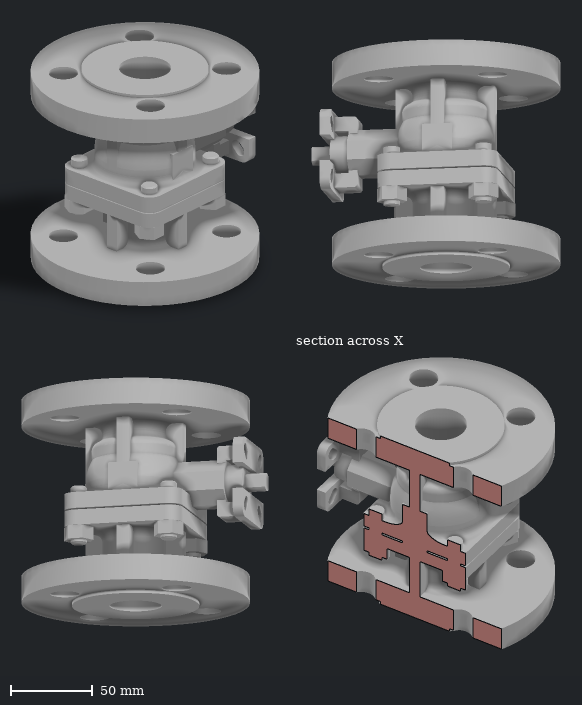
import cadquery as cq
import math


face_to_face = 130.0
bore_dia = 32.0
flange_dia = 140.0
flange_height = 18.0
raised_face_dia = 78.0
raised_face_height = 2.0
flange_bolt_circle_dia = 100.0
flange_bolt_hole_dia = 18.0

neck_radius = 20.5
shoulder_radius = 27.0
body_radius = 31.0
blend_radius = 5.0
shoulder_blend_angle = 60.0
ball_center_z = 75.0
shoulder_top_z = 96.3

joint_plate_width = 74.6
joint_corner_radius = 8.8
lower_plate_bottom_z = 44.8
lower_plate_thickness = 9.5
joint_gap = 1.0
upper_plate_thickness = 10.0

bolt_dia = 10.0
bolt_head_height = 5.0
bolt_end_z = 34.3
bolt_chamfer = 1.0
nut_height = 8.2
nut_across_flats = 16.0

rib_width = 8.0
stop_width = 18.4
stop_top_z = 84.0

stem_z = 73.0
stem_end_y = 83.0
stem_dia = 11.2
stem_across_flats = 8.4
gland_dia = 23.2
gland_start_y = 59.2
gland_end_y = 70.3
bonnet_across_flats = 28.0

pad_size = 50.0
pad_corner_radius = 6.0
pad_start_y = 68.0
pad_end_y = 74.2
pad_gap = 16.0
pad_slot_width = 7.0
pad_slot_outer_pitch_dia = 50.0
pad_slot_inner_pitch_dia = 42.0
arm_width = 18.0
arm_start_y = 53.7
arm_outer_offset = 22.1
arm_inner_offset = 13.2
arm_corner_radius = 2.0

upper_flange_bottom_z = face_to_face - flange_height
lower_plate_top_z = lower_plate_bottom_z + lower_plate_thickness
upper_plate_bottom_z = lower_plate_top_z + joint_gap
upper_plate_top_z = upper_plate_bottom_z + upper_plate_thickness
joint_bolt_offset = joint_plate_width / 2 - joint_corner_radius


def cylinder(radius, z_bottom, z_top):
    """Solid cylinder on the bore axis."""
    return cq.Workplane("XY").workplane(offset=z_bottom).circle(radius).extrude(z_top - z_bottom)


def box(x_range, y_range, z_range):
    """Box spanning the given (low, high) ranges."""
    size = [high - low for low, high in (x_range, y_range, z_range)]
    return cq.Workplane("XY").box(*size, centered=False).translate((x_range[0], y_range[0], z_range[0]))


def polar(center, radius, angle):
    """Point on a circle, with the angle in degrees."""
    turn = math.radians(angle)
    return (center[0] + radius * math.cos(turn), center[1] + radius * math.sin(turn))


def along_stem(outline, y_start, y_end):
    """Extrude an outline, drawn about the stem axis, from y_start to y_end."""
    return outline.extrude(y_start - y_end).translate((0, y_start, stem_z))


def pipe_flange(z_bottom, raised_face_bottom_z, plate_bottom_z):
    """Flange disc with its raised face and bolt holes."""
    plate_top_z = plate_bottom_z + flange_height - raised_face_height
    hole_offset = flange_bolt_circle_dia / 2 * math.sqrt(0.5)
    disc = cylinder(flange_dia / 2, plate_bottom_z, plate_top_z)
    holes = (
        cq.Workplane("XY").workplane(offset=z_bottom)
        .rect(2 * hole_offset, 2 * hole_offset, forConstruction=True).vertices()
        .circle(flange_bolt_hole_dia / 2).extrude(flange_height)
    )
    raised_face = cylinder(
        raised_face_dia / 2, raised_face_bottom_z, raised_face_bottom_z + raised_face_height
    )
    return disc.cut(holes).union(raised_face)


def lower_neck():
    """Straight neck flared into the lower flange and the lower joint plate."""
    flare_radius = neck_radius + blend_radius
    low_center = (flare_radius, flange_height + blend_radius)
    high_center = (flare_radius, lower_plate_bottom_z - blend_radius)
    return (
        cq.Workplane("XZ")
        .moveTo(0, flange_height)
        .lineTo(flare_radius, flange_height)
        .threePointArc(polar(low_center, blend_radius, 225), (neck_radius, low_center[1]))
        .lineTo(neck_radius, high_center[1])
        .threePointArc(polar(high_center, blend_radius, 135), (flare_radius, lower_plate_bottom_z))
        .lineTo(0, lower_plate_bottom_z)
        .close()
        .revolve(360, (0, 0, 0), (0, 1, 0))
    )


def upper_body():
    """Ball housing, shoulder and neck between the upper joint plate and the upper flange."""
    skirt_center = (body_radius + blend_radius, upper_plate_top_z + blend_radius)
    ball_center = (0, ball_center_z)
    ball_end_angle = math.degrees(math.acos(shoulder_radius / body_radius))
    shoulder_center = (shoulder_radius - blend_radius, shoulder_top_z)

    flare_radius = neck_radius + blend_radius
    arc_width = blend_radius * (1 - math.cos(math.radians(shoulder_blend_angle)))
    arc_height = blend_radius * math.sin(math.radians(shoulder_blend_angle))
    cone_width = shoulder_radius - neck_radius - 2 * arc_width
    cone_height = cone_width / math.tan(math.radians(shoulder_blend_angle))
    throat_center = (flare_radius, shoulder_top_z + 2 * arc_height + cone_height)
    flare_center = (flare_radius, upper_flange_bottom_z - blend_radius)

    return (
        cq.Workplane("XZ")
        .moveTo(0, upper_plate_top_z)
        .lineTo(skirt_center[0], upper_plate_top_z)
        .threePointArc(polar(skirt_center, blend_radius, 225), (body_radius, skirt_center[1]))
        .lineTo(body_radius, ball_center_z)
        .threePointArc(
            polar(ball_center, body_radius, ball_end_angle / 2),
            polar(ball_center, body_radius, ball_end_angle),
        )
        .lineTo(shoulder_radius, shoulder_top_z)
        .threePointArc(
            polar(shoulder_center, blend_radius, shoulder_blend_angle / 2),
            polar(shoulder_center, blend_radius, shoulder_blend_angle),
        )
        .lineTo(*polar(throat_center, blend_radius, 180 + shoulder_blend_angle))
        .threePointArc(
            polar(throat_center, blend_radius, 180 + shoulder_blend_angle / 2),
            (neck_radius, throat_center[1]),
        )
        .lineTo(neck_radius, flare_center[1])
        .threePointArc(polar(flare_center, blend_radius, 135), (flare_radius, upper_flange_bottom_z))
        .lineTo(0, upper_flange_bottom_z)
        .close()
        .revolve(360, (0, 0, 0), (0, 1, 0))
    )


def ribs(z_bottom, z_top):
    """Four ribs in a cross, trimmed to the body radius."""
    half_width = rib_width / 2
    reach = (-flange_dia / 2, flange_dia / 2)
    along_x = box(reach, (-half_width, half_width), (z_bottom, z_top))
    along_y = box((-half_width, half_width), reach, (z_bottom, z_top))
    return along_x.union(along_y).intersect(cylinder(body_radius, z_bottom, z_top))


def side_stops():
    """Flat-faced block standing across both X sides of the ball housing."""
    half_width = stop_width / 2
    return box((-body_radius, body_radius), (-half_width, half_width), (upper_plate_top_z, stop_top_z))


def joint_plate(z_bottom, thickness):
    """Square plate with rounded corners."""
    return (
        cq.Workplane("XY").workplane(offset=z_bottom)
        .rect(joint_plate_width, joint_plate_width).extrude(thickness)
        .edges("|Z").fillet(joint_corner_radius)
    )


def joint_bolt(x_side, y_side):
    """Bolt through one corner of the joint plates with its hexagon nut."""
    length = upper_plate_top_z + bolt_head_height - bolt_end_z
    bolt = cq.Workplane("XY").workplane(offset=bolt_end_z).circle(bolt_dia / 2).extrude(length)
    if x_side > 0:
        bolt = bolt.faces("<Z or >Z").chamfer(bolt_chamfer)
    nut = (
        cq.Workplane("XY").workplane(offset=lower_plate_bottom_z - nut_height)
        .polygon(6, nut_across_flats, circumscribed=True).extrude(nut_height)
    )
    return bolt.union(nut).translate((x_side * joint_bolt_offset, y_side * joint_bolt_offset, 0))


def bonnet_and_stem():
    """Octagonal bonnet, round gland and stem tip with two flats."""
    octagon = cq.Workplane("XZ").polygon(8, bonnet_across_flats, circumscribed=True)
    bonnet = along_stem(octagon, 0, gland_start_y)
    gland = along_stem(cq.Workplane("XZ").circle(gland_dia / 2), gland_start_y, gland_end_y)
    tip = along_stem(cq.Workplane("XZ").circle(stem_dia / 2), gland_end_y, stem_end_y)
    flats = along_stem(cq.Workplane("XZ").rect(stem_across_flats, stem_dia), gland_end_y, stem_end_y)
    return bonnet.union(gland).union(tip.intersect(flats))


def mounting_pads():
    """Square pad split by a gap across X, with a diagonal slot in each corner."""
    pad = along_stem(cq.Workplane("XZ").rect(pad_size, pad_size), pad_start_y, pad_end_y)
    pad = pad.edges("|Y").fillet(pad_corner_radius)
    pad = pad.cut(along_stem(cq.Workplane("XZ").rect(pad_size, pad_gap), pad_start_y, pad_end_y))
    slot_middle = (pad_slot_outer_pitch_dia + pad_slot_inner_pitch_dia) / 4
    slot_length = (pad_slot_outer_pitch_dia - pad_slot_inner_pitch_dia) / 2 + pad_slot_width
    for angle in (45, 135, 225, 315):
        slot = (
            cq.Workplane("XZ").transformed(rotate=(0, 0, angle))
            .center(slot_middle, 0).slot2D(slot_length, pad_slot_width)
        )
        pad = pad.cut(along_stem(slot, pad_start_y, pad_end_y))
    return pad


def mounting_arm():
    """Arm above the stem that carries the upper pad from the end of the bonnet."""
    half_width = arm_width / 2
    x_range = (-half_width, half_width)
    outer_z = stem_z + arm_outer_offset
    bar = box(x_range, (arm_start_y, pad_start_y), (stem_z + arm_inner_offset, outer_z))
    bar = bar.edges("|X and >Z and <Y").fillet(arm_corner_radius)
    foot = box(x_range, (arm_start_y, gland_start_y), (stem_z + gland_dia / 2, outer_z - arm_corner_radius))
    return bar.union(foot)


result = pipe_flange(0, 0, raised_face_height)
result = result.union(
    pipe_flange(upper_flange_bottom_z, face_to_face - raised_face_height, upper_flange_bottom_z)
)
result = result.union(lower_neck())
result = result.union(upper_body())
result = result.union(ribs(flange_height, lower_plate_bottom_z))
result = result.union(ribs(ball_center_z, upper_flange_bottom_z))
result = result.union(side_stops())

result = result.union(joint_plate(lower_plate_bottom_z, lower_plate_thickness))
result = result.union(joint_plate(upper_plate_bottom_z, upper_plate_thickness))
result = result.union(cylinder(body_radius, lower_plate_top_z, upper_plate_bottom_z))
for x_side in (-1, 1):
    for y_side in (-1, 1):
        result = result.union(joint_bolt(x_side, y_side))

upper_arm = mounting_arm()
lower_arm = upper_arm.mirror("XY", (0, 0, stem_z))
result = result.union(bonnet_and_stem())
result = result.union(mounting_pads())
result = result.union(upper_arm).union(lower_arm)

result = result.cut(cylinder(bore_dia / 2, 0, face_to_face))